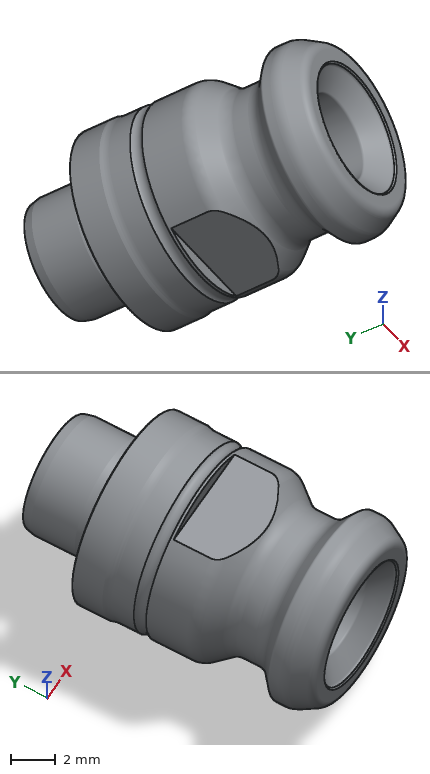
import cadquery as cq
import math

length = 16.0
socket_end_y = -length / 2

body_radius = 4.8
collar_diameter = 9.78
collar_radius = collar_diameter / 2
waist_radius = 3.71
spigot_radius = 3.0
relief_radius = 2.83

lip_cone_radius = 4.13
lip_cone_end = 1.22
lip_back = 2.0
waist_start = 2.93
waist_end = 4.6
body_start = 5.94

groove_start = 8.37
groove_end = 9.0
groove_depth = 0.15

collar_taper_start = 10.29
collar_start = 10.6
collar_end = 12.2
collar_chamfer = 0.03

relief_end = 12.6
spigot_start = 13.17
tip_taper_start = 15.45
tip_radius = 2.86

flat_distance = 4.0
flat_end = 8.2

bore_radius = 1.63
counterbore_radius = 2.11
counterbore_depth = 2.96
shoulder_depth = 0.25
countersink_start = 0.16
countersink_depth = 1.02
mouth_radius = 3.15
mouth_chamfer = 0.08

outer_corners = [
    (0, 0, 0),
    (lip_cone_radius, 0, 0.51),
    (body_radius, lip_cone_end, 1.02),
    (body_radius, lip_back, 0.18),
    (waist_radius, waist_start, 1.04),
    (waist_radius, waist_end, 1.0),
    (body_radius, body_start, 1.0),
    (body_radius, collar_taper_start, 0.96),
    (collar_radius, collar_start, 0),
    (collar_radius, collar_end - collar_chamfer, 0),
    (collar_radius - collar_chamfer, collar_end, 0),
    (relief_radius, collar_end, 0.3),
    (relief_radius, relief_end, 0),
    (spigot_radius, spigot_start, 0),
    (spigot_radius, tip_taper_start, 0),
    (tip_radius, length, 0.16),
    (0, length, 0),
]

bore_corners = [
    (0, 0, 0),
    (mouth_radius + mouth_chamfer, 0, 0),
    (mouth_radius, mouth_chamfer, 0),
    (mouth_radius, countersink_start, 0.18),
    (counterbore_radius, countersink_depth, 0.16),
    (counterbore_radius, counterbore_depth, 0),
    (bore_radius, counterbore_depth + shoulder_depth, 0),
    (bore_radius, length, 0),
    (0, length, 0),
]


def revolve_profile(corners):
    """Revolve a half profile about Y, rounding corners with tangent arcs."""
    points = [cq.Vector(radius, socket_end_y + distance) for radius, distance, _ in corners]
    profile = cq.Workplane("XY").moveTo(points[0].x, points[0].y)
    for i in range(1, len(corners)):
        corner = points[i]
        rounding = corners[i][2]
        if rounding == 0:
            profile = profile.lineTo(corner.x, corner.y)
            continue
        backward = (points[i - 1] - corner).normalized()
        forward = (points[i + 1] - corner).normalized()
        half_angle = backward.getAngle(forward) / 2
        tangent_length = rounding / math.tan(half_angle)
        bisector = (backward + forward).normalized()
        start = corner + backward * tangent_length
        middle = corner + bisector * (rounding / math.sin(half_angle) - rounding)
        end = corner + forward * tangent_length
        profile = profile.lineTo(start.x, start.y)
        profile = profile.threePointArc((middle.x, middle.y), (end.x, end.y))
    return profile.close().revolve(360, (0, 0), (0, 1))


def snap_groove():
    """Ring with a round-bottomed section, to be cut from the body."""
    start_y = socket_end_y + groove_start
    end_y = socket_end_y + groove_end
    bottom = (body_radius - groove_depth, (start_y + end_y) / 2)
    return (
        cq.Workplane("XY")
        .moveTo(body_radius, start_y)
        .threePointArc(bottom, (body_radius, end_y))
        .lineTo(collar_radius, end_y)
        .lineTo(collar_radius, start_y)
        .close()
        .revolve(360, (0, 0), (0, 1))
    )


def wrench_flat(side):
    """Block above (side=1) or below (side=-1) the flat, from the waist to the flat's end."""
    block_height = body_radius
    flat_length = flat_end - waist_end
    center_y = socket_end_y + (waist_end + flat_end) / 2
    center_z = side * (flat_distance + block_height / 2)
    return (
        cq.Workplane("XY")
        .box(2 * body_radius, flat_length, block_height)
        .translate((0, center_y, center_z))
    )


result = revolve_profile(outer_corners).cut(snap_groove())
for side in (1, -1):
    result = result.cut(wrench_flat(side))
result = result.cut(revolve_profile(bore_corners))